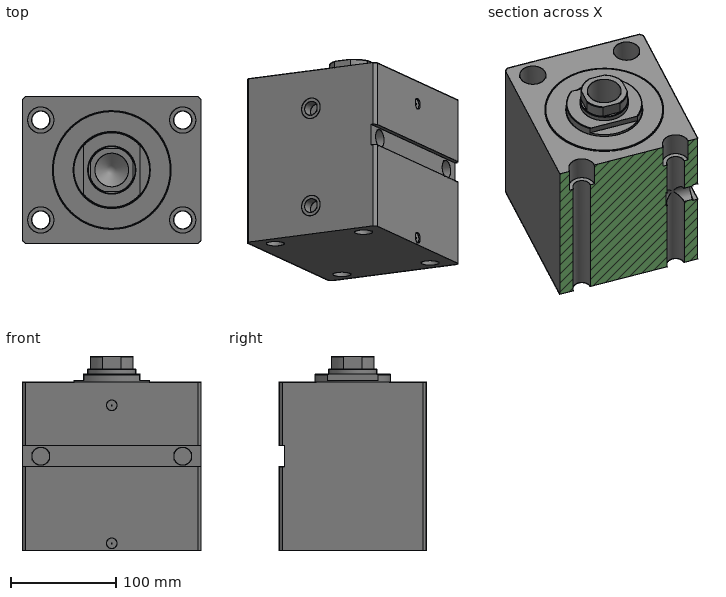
import cadquery as cq
import math


length_x = 170.0
width_y = 140.0
block_height = 160.3
total_height = 184.9
corner_chamfer = 3.0

bolt_spacing_x = 135.0
bolt_spacing_y = 95.0
bolt_diameter = 17.0
bolt_head_diameter = 25.0
bolt_head_depth = 25.0

slot_height = 20.0
slot_depth = 5.0
slot_center_z = 89.9
cross_hole_depth = 26.8

port_heights = (28.0, 123.3)
port_diameter = 13.5
port_depth = 12.0
port_seat_diameter = 20.0
port_seat_depth = 0.2

vent_heights = (7.0, 138.3)
vent_diameter = 10.0
vent_depth = 1.5

pilot_diameter = 1.0
pilot_depth = 2.8

gland_diameter = 113.0
gland_depth = 40.7
gland_outer_chamfer = 1.0
gland_bore_chamfer = 0.7

rod_diameter = 72.0
rod_edge_chamfer = 0.5
wrench_flat_width = 53.5
wrench_flat_base = 1.7
rod_shoulder = 7.5
neck_diameter = 45.9
neck_chamfer = 0.5
neck_top = 12.5
head_diameter = 44.4
head_flat_width = 40.9
head_chamfer = 0.5
rod_hole_diameter = 32.0
rod_hole_depth = 40.7
drill_point_angle = 118

front_y = -width_y / 2
left_x = -length_x / 2
gland_bottom = block_height - gland_depth


def cylinder_z(diameter, bottom, top):
    """Upright cylinder on the Z axis."""
    return cq.Workplane("XY").workplane(offset=bottom).circle(diameter / 2).extrude(top - bottom)


def hole_from_front(x, y, z, diameter, depth):
    """Cylinder that starts at the given point and runs in +Y."""
    start = cq.Vector(x, y, z)
    return cq.Workplane(cq.Solid.makeCylinder(diameter / 2, depth, start, cq.Vector(0, 1, 0)))


def hole_from_left(z, x, diameter, depth):
    """Cylinder in the plane y = 0 that starts at the given x and runs in +X."""
    start = cq.Vector(x, 0, z)
    return cq.Workplane(cq.Solid.makeCylinder(diameter / 2, depth, start, cq.Vector(1, 0, 0)))


def cut_bolt_holes(block):
    return (
        block.faces(">Z")
        .workplane(origin=(0, 0, block_height))
        .rarray(bolt_spacing_x, bolt_spacing_y, 2, 2)
        .cboreHole(bolt_diameter, bolt_head_diameter, bolt_head_depth)
    )


def cut_key_slot(block):
    slot = cq.Workplane("XY").box(length_x, 2 * slot_depth, slot_height)
    block = block.cut(slot.translate((0, front_y, slot_center_z)))
    for side in (-1, 1):
        x = side * bolt_spacing_x / 2
        block = block.cut(
            hole_from_front(x, front_y + slot_depth, slot_center_z, bolt_diameter, cross_hole_depth)
        )
    return block


def cut_ports(block):
    for z in port_heights:
        block = block.cut(hole_from_left(z, left_x, port_seat_diameter, port_seat_depth))
        block = block.cut(hole_from_left(z, left_x, port_diameter, port_depth))
        block = block.cut(hole_from_left(z, left_x + port_depth, pilot_diameter, pilot_depth))
    return block


def cut_vents(block):
    for z in vent_heights:
        block = block.cut(hole_from_front(0, front_y, z, vent_diameter, vent_depth))
        block = block.cut(hole_from_front(0, front_y + vent_depth, z, pilot_diameter, pilot_depth))
    return block


def make_housing():
    block = cq.Workplane("XY").box(length_x, width_y, block_height, centered=(True, True, False))
    block = block.edges("|Z").chamfer(corner_chamfer)
    block = block.cut(cylinder_z(gland_diameter, gland_bottom, block_height))
    block = cut_bolt_holes(block)
    block = cut_key_slot(block)
    block = cut_ports(block)
    return cut_vents(block)


def make_gland():
    ring = cylinder_z(gland_diameter, gland_bottom, block_height)
    ring = ring.faces(">Z").chamfer(gland_outer_chamfer)
    ring = ring.cut(cylinder_z(rod_diameter, gland_bottom, block_height))
    bore_edge = cq.selectors.RadiusNthSelector(0)
    return ring.faces(">Z").edges(bore_edge).chamfer(gland_bore_chamfer)


def make_rod_hole():
    """Blind drilled hole with a conical bottom."""
    radius = rod_hole_diameter / 2
    point_length = radius / math.tan(math.radians(drill_point_angle / 2))
    bottom = total_height - rod_hole_depth
    return (
        cq.Workplane("XZ")
        .moveTo(0, total_height)
        .lineTo(radius, total_height)
        .lineTo(radius, bottom)
        .lineTo(0, bottom - point_length)
        .close()
        .revolve(360, (0, 0, 0), (0, 1, 0))
    )


def make_rod():
    shoulder_z = block_height + rod_shoulder
    neck_top_z = block_height + neck_top
    flat_base_z = block_height + wrench_flat_base

    shaft = cylinder_z(rod_diameter, gland_bottom, shoulder_z).faces(">Z").chamfer(rod_edge_chamfer)
    flat_zone = cylinder_z(rod_diameter, flat_base_z, shoulder_z)
    kept_width = cq.Workplane("XY").rect(wrench_flat_width, rod_diameter).extrude(total_height)
    shaft = shaft.cut(flat_zone.cut(kept_width))

    neck = cylinder_z(neck_diameter, shoulder_z, neck_top_z)
    neck = neck.faces(">Z").chamfer(neck_chamfer)
    head = cylinder_z(head_diameter, neck_top_z, total_height).faces(">Z").chamfer(head_chamfer)
    square = cq.Workplane("XY").rect(head_flat_width, head_flat_width).extrude(total_height)
    head = head.intersect(square)

    return shaft.union(neck).union(head).cut(make_rod_hole())


housing = make_housing()
gland = make_gland()
rod = make_rod()

result = cq.Compound.makeCompound([housing.solids().val(), gland.solids().val(), rod.solids().val()])